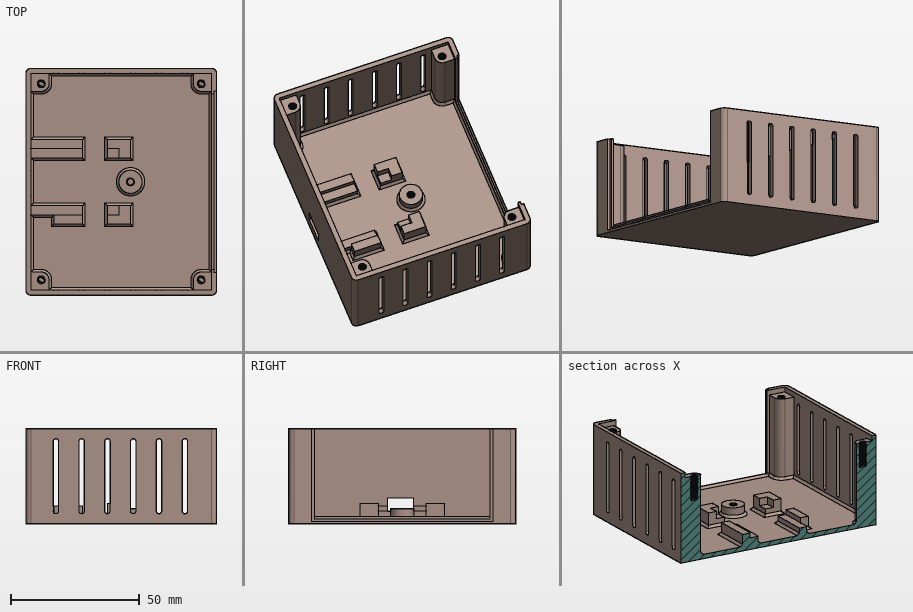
import cadquery as cq


LENGTH_X = 74.0
LENGTH_Y = 88.0
HEIGHT = 37.0
WALL = 2.0
FLOOR = 2.0
CORNER_RADIUS = 2.0
SKIRT = 1.0
SKIRT_ANGLE = 45.0
INNER_X = LENGTH_X / 2 - WALL
INNER_Y = LENGTH_Y / 2 - WALL
SKIRT_TOP = FLOOR + SKIRT

OPENING_WIDTH = 68.0
REBATE_DEPTH = 1.0
REBATE_MARGIN = 1.2

SLOT_COUNT = 6
SLOT_PITCH = 10.0
SLOT_WIDTH = 2.0
SLOT_BOTTOM = 4.0
SLOT_TOP = 33.0
SLOT_ROW_CENTER_X = -0.35

LID_RECESS = 2.0
POST_TOP = HEIGHT - LID_RECESS
POST_SIZE = 7.0
POST_RADIUS = 3.0
POST_HOLE_DEPTH = 10.0
POST_HOLE_X = INNER_X - POST_SIZE + POST_RADIUS
POST_HOLE_Y = INNER_Y - POST_SIZE + POST_RADIUS

THREAD_MAJOR_DIAMETER = 3.09
THREAD_MINOR_DIAMETER = 2.53
THREAD_PITCH = 0.5
THREAD_GROOVE_WIDTH = 0.42
THREAD_OVERLAP = 0.05

BOARD_LENGTH = 34.1
BOARD_WIDTH = 25.6
LEDGE_TOP = 5.0
SUPPORT_WIDTH = 7.1
RAIL_LENGTH = 20.0
RAIL_TOP = 7.0
RAIL_CUTBACK = 9.0
BLOCK_LENGTH = 9.0
BLOCK_TOP = 8.0
BOARD_POCKET_DEPTH = 1.0
BOARD_END_X = -INNER_X + BOARD_LENGTH
BOARD_EDGE_Y = BOARD_WIDTH / 2
SUPPORT_INNER_Y = BOARD_EDGE_Y - SUPPORT_WIDTH / 2
SUPPORT_OUTER_Y = BOARD_EDGE_Y + SUPPORT_WIDTH / 2

CLAMP_POST_X = BOARD_END_X + BLOCK_LENGTH / 2
CLAMP_POST_DIAMETER = 9.0
CLAMP_POST_TOP = 6.0
CLAMP_HOLE_DEPTH = CLAMP_POST_TOP - FLOOR

WINDOW_WIDTH = 10.0
WINDOW_CENTER_Y = -0.7
WINDOW_BOTTOM = 5.0
WINDOW_TOP = 10.0


def box(x_min, x_max, y_min, y_max, z_min, z_max):
    size = (x_max - x_min, y_max - y_min, z_max - z_min)
    return cq.Workplane("XY").box(*size, centered=False).translate((x_min, y_min, z_min))


def rectangular_skirt(x_min, x_max, y_min, y_max):
    """45 degree skirt on the floor, wider than the given rectangle by SKIRT at its base."""
    return (
        cq.Workplane("XY")
        .workplane(offset=FLOOR)
        .center((x_min + x_max) / 2, (y_min + y_max) / 2)
        .rect(x_max - x_min + 2 * SKIRT, y_max - y_min + 2 * SKIRT)
        .extrude(SKIRT, taper=SKIRT_ANGLE)
    )


def make_shell():
    body = cq.Workplane("XY").rect(LENGTH_X, LENGTH_Y).extrude(HEIGHT)
    body = body.edges("|Z").fillet(CORNER_RADIUS)
    floor_chamfer = (
        cq.Workplane("XY")
        .workplane(offset=FLOOR)
        .rect(2 * (INNER_X - SKIRT), 2 * (INNER_Y - SKIRT))
        .extrude(SKIRT, taper=-SKIRT_ANGLE)
    )
    cavity = box(-INNER_X, INNER_X, -INNER_Y, INNER_Y, SKIRT_TOP, HEIGHT)
    return body.cut(floor_chamfer).cut(cavity)


def make_side_opening():
    """Opening down to the floor, with a rebate along its outer edge for a side panel."""
    half_width = OPENING_WIDTH / 2
    half_rebate = half_width + REBATE_MARGIN
    rebate_bottom = FLOOR - REBATE_DEPTH
    rebate_x = LENGTH_X / 2 - REBATE_DEPTH
    through = box(INNER_X, LENGTH_X / 2, -half_width, half_width, FLOOR, HEIGHT)
    rebate = box(rebate_x, LENGTH_X / 2, -half_rebate, half_rebate, rebate_bottom, HEIGHT)
    return through.union(rebate)


def make_vent_slots():
    slot_length = SLOT_TOP - SLOT_BOTTOM
    first_x = SLOT_ROW_CENTER_X - SLOT_PITCH * (SLOT_COUNT - 1) / 2
    centers = [(first_x + i * SLOT_PITCH, (SLOT_TOP + SLOT_BOTTOM) / 2) for i in range(SLOT_COUNT)]
    return (
        cq.Workplane("XZ")
        .pushPoints(centers)
        .slot2D(slot_length, SLOT_WIDTH, 90)
        .extrude(LENGTH_Y / 2, both=True)
    )


def make_corner_post(sign_x, sign_y):
    """Post in one corner, reaching into both walls, rounded toward the cavity."""
    inner_x = INNER_X - POST_SIZE
    inner_y = INNER_Y - POST_SIZE
    outer_x = INNER_X + WALL / 2
    outer_y = INNER_Y + WALL / 2

    def rounded_prism(growth, height, taper):
        near_x = inner_x - growth
        near_y = inner_y - growth
        radius = POST_RADIUS + growth
        return (
            cq.Workplane("XY")
            .workplane(offset=FLOOR)
            .moveTo(near_x + radius, near_y)
            .lineTo(outer_x, near_y)
            .lineTo(outer_x, outer_y)
            .lineTo(near_x, outer_y)
            .lineTo(near_x, near_y + radius)
            .radiusArc((near_x + radius, near_y), -radius)
            .close()
            .extrude(height, taper=taper)
        )

    shaft = rounded_prism(0, POST_TOP - FLOOR, 0)
    post = shaft.union(rounded_prism(SKIRT, SKIRT, SKIRT_ANGLE))
    if sign_x < 0:
        post = post.mirror("YZ")
    if sign_y < 0:
        post = post.mirror("XZ")
    return post


def make_threaded_hole(depth):
    """Cutter for a threaded hole sunk from Z = 0: a bore of the minor diameter and a helical V groove."""
    minor_radius = THREAD_MINOR_DIAMETER / 2
    major_radius = THREAD_MAJOR_DIAMETER / 2
    bore = cq.Workplane("XY").circle(minor_radius).extrude(depth)
    root_radius = minor_radius - THREAD_OVERLAP
    half_groove = THREAD_GROOVE_WIDTH / 2
    helix = cq.Wire.makeHelix(THREAD_PITCH, depth, minor_radius)
    groove = (
        cq.Workplane("XZ")
        .polyline([(root_radius, -half_groove), (major_radius, 0), (root_radius, half_groove)])
        .close()
        .sweep(cq.Workplane(obj=helix), isFrenet=True)
    )
    return bore.union(groove).translate((0, 0, -depth))


def make_rail(sign_y, cutback):
    """Board rail from the -X wall: a ledge under the board and a taller guide outside it."""
    wall_x = -INNER_X - WALL / 2
    end_x = -INNER_X + RAIL_LENGTH
    guide_x = -INNER_X + cutback if cutback else wall_x
    ledge_y = sorted((sign_y * SUPPORT_INNER_Y, sign_y * BOARD_EDGE_Y))
    guide_y = sorted((sign_y * BOARD_EDGE_Y, sign_y * SUPPORT_OUTER_Y))
    rail = box(wall_x, end_x, *ledge_y, FLOOR, LEDGE_TOP)
    rail = rail.union(box(guide_x, end_x, *guide_y, FLOOR, RAIL_TOP))
    rail = rail.union(rectangular_skirt(wall_x, end_x, *ledge_y))
    return rail.union(rectangular_skirt(guide_x, end_x, *guide_y))


def make_end_block(sign_y):
    """Block at a far corner of the board, with a pocket that the corner sits in."""
    x_range = (BOARD_END_X - BLOCK_LENGTH / 2, BOARD_END_X + BLOCK_LENGTH / 2)
    y_range = sorted((sign_y * SUPPORT_INNER_Y, sign_y * SUPPORT_OUTER_Y))
    pocket_y = sorted((sign_y * SUPPORT_INNER_Y, sign_y * BOARD_EDGE_Y))
    block = box(*x_range, *y_range, FLOOR, BLOCK_TOP)
    block = block.cut(box(x_range[0], BOARD_END_X, *pocket_y, LEDGE_TOP, BLOCK_TOP))
    return block.union(rectangular_skirt(*x_range, *y_range))


def make_clamp_post():
    circle = cq.Workplane("XY").workplane(offset=FLOOR).center(CLAMP_POST_X, 0)
    shaft = circle.circle(CLAMP_POST_DIAMETER / 2).extrude(CLAMP_POST_TOP - FLOOR)
    base = circle.circle(CLAMP_POST_DIAMETER / 2 + SKIRT).extrude(SKIRT, taper=SKIRT_ANGLE)
    return shaft.union(base)


def make_window():
    y_min = WINDOW_CENTER_Y - WINDOW_WIDTH / 2
    y_max = WINDOW_CENTER_Y + WINDOW_WIDTH / 2
    return box(-LENGTH_X / 2, -INNER_X, y_min, y_max, WINDOW_BOTTOM, WINDOW_TOP)


def make_board_pocket():
    """Recess inside the -X wall that takes the edge of the board behind the window."""
    pocket_x = -INNER_X - BOARD_POCKET_DEPTH
    return box(pocket_x, -INNER_X, -BOARD_EDGE_Y, BOARD_EDGE_Y, LEDGE_TOP, RAIL_TOP)


result = make_shell().cut(make_side_opening()).cut(make_vent_slots()).cut(make_window())

for side_y in (-1, 1):
    for side_x in (-1, 1):
        result = result.union(make_corner_post(side_x, side_y))
    result = result.union(make_end_block(side_y))
result = result.union(make_rail(1, 0)).union(make_rail(-1, RAIL_CUTBACK))
result = result.union(make_clamp_post()).cut(make_board_pocket())

post_hole = make_threaded_hole(POST_HOLE_DEPTH)
for side_x in (-1, 1):
    for side_y in (-1, 1):
        result = result.cut(post_hole.translate((side_x * POST_HOLE_X, side_y * POST_HOLE_Y, POST_TOP)))
clamp_hole = make_threaded_hole(CLAMP_HOLE_DEPTH)
result = result.cut(clamp_hole.translate((CLAMP_POST_X, 0, CLAMP_POST_TOP)))